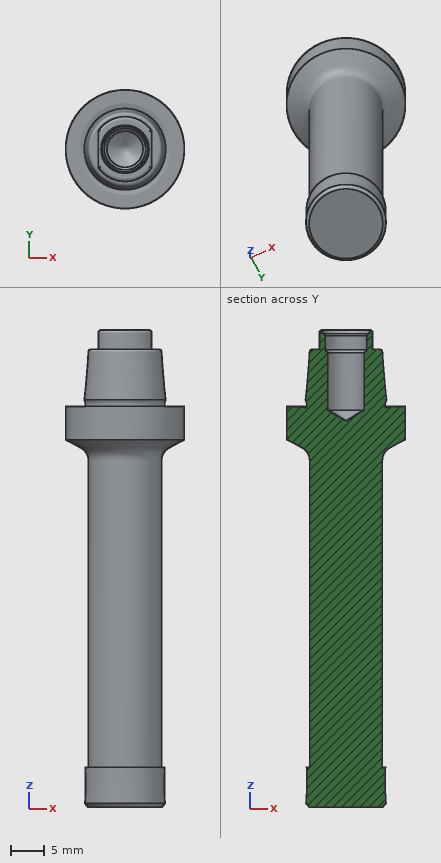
import cadquery as cq
import math

total_height = 71.45
flange_top_z = 60.0
flange_bottom_z = 55.0

foot_band_radius = 5.95
foot_height = 6.0
foot_band_height = 0.9
foot_base_radius = 6.0
foot_chamfer_radial = 0.5
foot_chamfer_height = 0.6

shaft_radius = 5.5
flare_angle = math.radians(28)
flare_fillet = 2.0
flange_radius = 8.9

relief_outer_radius = 6.85
relief_root_radius = 5.95
relief_depth = 0.2
relief_height = 0.5

taper_base_z = 61.0
taper_base_radius = 6.1
taper_top_radius = 5.5
shoulder_round = 0.45

tenon_radius = 4.85
tenon_height = 2.9
tenon_flat_width = 8.0
tenon_round = 0.5

mouth_radius = 3.6
rim_depth = 0.6
countersink_radius = 3.4
bore_radius = 3.1
bore_depth = 3.0
drill_radius = 2.7
drill_depth = 12.0
drill_tip_angle = math.radians(118)

shoulder_z = total_height - tenon_height


def make_body():
    """Turned body from the tapered foot up to the shoulder below the tenon."""
    foot_band_z = foot_height - foot_band_height
    fillet_end_radius = shaft_radius + flare_fillet * (1 - math.sin(flare_angle))
    flare_rise = (flange_radius - fillet_end_radius) * math.tan(flare_angle)
    fillet_end_z = flange_bottom_z - flare_rise
    fillet_start_z = fillet_end_z - flare_fillet * math.cos(flare_angle)
    half_turn = (math.pi / 2 - flare_angle) / 2
    fillet_mid = (
        shaft_radius + flare_fillet * (1 - math.cos(half_turn)),
        fillet_start_z + flare_fillet * math.sin(half_turn),
    )
    round_center = (taper_top_radius - shoulder_round, shoulder_z - shoulder_round)
    round_mid = (
        round_center[0] + shoulder_round * math.cos(math.pi / 4),
        round_center[1] + shoulder_round * math.sin(math.pi / 4),
    )
    profile = (
        cq.Workplane("YZ")
        .moveTo(0, 0)
        .lineTo(foot_base_radius - foot_chamfer_radial, 0)
        .lineTo(foot_base_radius, foot_chamfer_height)
        .lineTo(foot_band_radius, foot_band_z)
        .lineTo(foot_band_radius, foot_height)
        .lineTo(shaft_radius, foot_height)
        .lineTo(shaft_radius, fillet_start_z)
        .threePointArc(fillet_mid, (fillet_end_radius, fillet_end_z))
        .lineTo(flange_radius, flange_bottom_z)
        .lineTo(flange_radius, flange_top_z)
        .lineTo(relief_outer_radius, flange_top_z)
        .lineTo(relief_root_radius, flange_top_z - relief_depth)
        .lineTo(relief_root_radius, flange_top_z + relief_height)
        .lineTo(taper_base_radius, taper_base_z)
        .lineTo(taper_top_radius, round_center[1])
        .threePointArc(round_mid, (round_center[0], shoulder_z))
        .lineTo(0, shoulder_z)
        .close()
    )
    return profile.revolve(360, (0, 0, 0), (0, 1, 0))


def make_tenon():
    """Round tenon cut by two flats facing -X and +X, with a rounded top edge."""
    tenon = cq.Workplane("XY").workplane(offset=shoulder_z).circle(tenon_radius).extrude(tenon_height)
    flats = (
        cq.Workplane("XY")
        .workplane(offset=shoulder_z)
        .rect(tenon_flat_width, 2 * tenon_radius)
        .extrude(tenon_height)
    )
    return tenon.intersect(flats).faces(">Z").edges().fillet(tenon_round)


def make_bore():
    """Stepped blind hole with a steep rim, 45 degree steps and a drill point."""
    rim_bottom_z = total_height - rim_depth
    countersink_bottom_z = rim_bottom_z - (countersink_radius - bore_radius)
    bore_bottom_z = total_height - bore_depth
    ledge_bottom_z = bore_bottom_z - (bore_radius - drill_radius)
    tip_height = drill_radius / math.tan(drill_tip_angle / 2)
    drill_bottom_z = total_height - drill_depth
    profile = (
        cq.Workplane("YZ")
        .moveTo(0, total_height)
        .lineTo(mouth_radius, total_height)
        .lineTo(countersink_radius, rim_bottom_z)
        .lineTo(bore_radius, countersink_bottom_z)
        .lineTo(bore_radius, bore_bottom_z)
        .lineTo(drill_radius, ledge_bottom_z)
        .lineTo(drill_radius, drill_bottom_z)
        .lineTo(0, drill_bottom_z - tip_height)
        .close()
    )
    return profile.revolve(360, (0, 0, 0), (0, 1, 0))


result = make_body().union(make_tenon()).cut(make_bore())